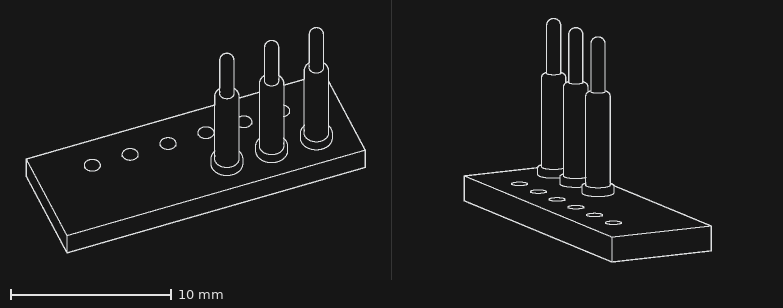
import cadquery as cq
import math

BOARD_WIDTH = 7.0
BOARD_LENGTH = 20.0
BOARD_THICKNESS = 1.6

HOLE_COUNT = 6
HOLE_DIAMETER = 1.0
HOLE_PITCH = 2.55
HOLE_ROW_X = 2.0

PIN_COUNT = 3
PIN_PITCH = 3.0
PIN_ROW_X = BOARD_WIDTH - HOLE_ROW_X
PIN_END_MARGIN = 2.5
PIN_CLEARANCE = 0.05

PIN_HEIGHT = 10.0
FLANGE_DIAMETER = 2.0
FLANGE_HEIGHT = 0.52
FLANGE_FILLET = 0.05
BARREL_DIAMETER = 1.55
BARREL_HEIGHT = 6.5
BARREL_FILLET = 0.3
PLUNGER_DIAMETER = 0.9
PLUNGER_RADIUS = PLUNGER_DIAMETER / 2

DIAGONAL = math.sqrt(0.5)


def make_board():
    """Flat rectangular board with one row of through holes."""
    first_hole_y = (BOARD_LENGTH - (HOLE_COUNT - 1) * HOLE_PITCH) / 2
    hole_centres = [(HOLE_ROW_X, first_hole_y + i * HOLE_PITCH) for i in range(HOLE_COUNT)]
    return (
        cq.Workplane("XY")
        .box(BOARD_WIDTH, BOARD_LENGTH, BOARD_THICKNESS, centered=False)
        .faces(">Z")
        .workplane(origin=(0, 0, BOARD_THICKNESS))
        .pushPoints(hole_centres)
        .hole(HOLE_DIAMETER)
    )


def make_pin(x, y):
    """Turned pin: rounded flange, barrel with a rounded shoulder, plunger with a hemispherical tip."""
    flange = (
        cq.Workplane("XY")
        .circle(FLANGE_DIAMETER / 2)
        .extrude(FLANGE_HEIGHT)
        .edges()
        .fillet(FLANGE_FILLET)
    )
    barrel = (
        cq.Workplane("XY")
        .circle(BARREL_DIAMETER / 2)
        .extrude(BARREL_HEIGHT)
        .edges(">Z")
        .fillet(BARREL_FILLET)
    )
    tip_centre = PIN_HEIGHT - PLUNGER_RADIUS
    plunger = (
        cq.Workplane("XZ")
        .lineTo(-PLUNGER_RADIUS, 0)
        .lineTo(-PLUNGER_RADIUS, tip_centre)
        .threePointArc(
            (-PLUNGER_RADIUS * DIAGONAL, tip_centre + PLUNGER_RADIUS * DIAGONAL),
            (0, PIN_HEIGHT),
        )
        .close()
        .revolve(360, (0, 0), (0, 1))
    )
    pin = flange.union(barrel).union(plunger)
    return pin.translate((x, y, BOARD_THICKNESS + PIN_CLEARANCE))


board = make_board()

pins = []
for i in range(PIN_COUNT):
    pin_y = BOARD_LENGTH - PIN_END_MARGIN - i * PIN_PITCH
    pins.append(make_pin(PIN_ROW_X, pin_y).val())

result = cq.Compound.makeCompound([board.val(), *pins])